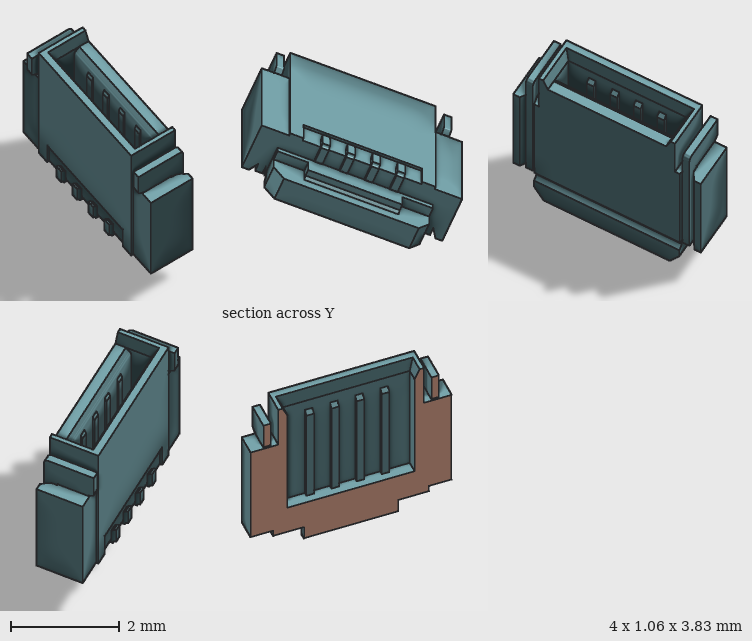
import cadquery as cq
import math


shell_width = 2.9
shell_depth = 1.0
shell_height = 3.1

cavity_width = 2.52
cavity_front = -0.75
cavity_back = -0.325
cavity_floor = 0.5
back_wall_top = 2.88
mouth_widening = 0.1
mouth_depth = shell_height - back_wall_top
lip_chamfer = 0.07
lip_round = 0.04
lip_round_height = 0.065
lip_round_bulge = 0.01

recess_width = 2.37
recess_height = 0.51
recess_depth = 0.05

overall_width = 4.0
wing_depth = 0.95
wing_height = 2.2
notch_outer_x = 1.86
notch_inner_x = 1.55
notch_depth = 0.18

mount_front = -1.05
nail_x = 1.67
nail_thickness = 0.15
nail_back = -0.025
nail_top = 2.8
nail_gap = 0.03
nail_leg_front = -0.3
nail_corner_radius = 0.1
nail_chamfer_run = 0.11
nail_chamfer_rise = 0.07
nail_chamfer_round = 0.04

contact_count = 4
contact_pitch = 0.5
contact_width = 0.15
foot_back = -0.67
foot_bottom = -0.09
foot_top = 0.31
foot_hollow_radius = 0.065
foot_tip_drop = 0.02
foot_heel_drop = 0.07
blade_top = 2.65
blade_tip_height = 0.08
front_blade_projection = 0.08
back_blade_projection = 0.035

tail_width = 3.1
tail_bottom = -0.73
tail_back = 0.01
tail_neck_back = -0.08
tail_neck_bottom = -0.15
tail_front = -0.445
tail_corner_run = 0.205
tail_corner_rise = 0.3
shelf_front = -0.632
shelf_bottom = -0.135
boss_width = 1.88
boss_bottom = -0.425
boss_chamfer = 0.06


def box(x_range, y_range, z_range):
    """Axis-aligned box from its limits along X, Y and Z."""
    size = [high - low for low, high in (x_range, y_range, z_range)]
    return (
        cq.Workplane("XY")
        .box(*size, centered=False)
        .translate((x_range[0], y_range[0], z_range[0]))
    )


def extrude_across(profile, width, x_center=0):
    """Extrude a closed YZ profile symmetrically about x_center."""
    return profile.extrude(width / 2, both=True).translate((x_center, 0, 0))


def side_plate(points, width, x_center=0):
    """Plate of the given X width with a polygonal YZ outline."""
    return extrude_across(cq.Workplane("YZ").polyline(points).close(), width, x_center)


def make_cavity():
    pocket = box(
        (-cavity_width / 2, cavity_width / 2),
        (cavity_front, cavity_back),
        (cavity_floor, shell_height),
    )

    mouth_back = shell_depth / 2
    mouth_front_top = cavity_front - mouth_widening
    bottom_y = (cavity_front + mouth_back) / 2
    top_y = (mouth_front_top + mouth_back) / 2
    mouth = (
        cq.Workplane("XY")
        .workplane(offset=back_wall_top)
        .center(0, bottom_y)
        .rect(cavity_width, mouth_back - cavity_front)
        .workplane(offset=mouth_depth)
        .center(0, top_y - bottom_y)
        .rect(cavity_width + 2 * mouth_widening, mouth_back - mouth_front_top)
        .loft(ruled=True)
    )

    round_start_y = cavity_back + lip_round
    round_start_z = back_wall_top - lip_chamfer
    round_end_z = round_start_z - lip_round_height
    round_middle = (
        cavity_back + lip_round / 2 - lip_round_bulge,
        (round_start_z + round_end_z) / 2,
    )
    lip = extrude_across(
        cq.Workplane("YZ")
        .moveTo(round_start_y + lip_chamfer, back_wall_top)
        .lineTo(round_start_y, round_start_z)
        .threePointArc(
            round_middle,
            (cavity_back, round_end_z),
        )
        .lineTo(cavity_back, back_wall_top)
        .close(),
        cavity_width,
    )
    return pocket.union(mouth).union(lip)


def make_shell():
    shell = box((-shell_width / 2, shell_width / 2), (-shell_depth, 0), (0, shell_height))
    recess = box(
        (-recess_width / 2, recess_width / 2),
        (-shell_depth, -shell_depth + recess_depth),
        (0, recess_height),
    )
    return shell.cut(make_cavity()).cut(recess)


def make_wing():
    """Wing on the +X side."""
    nail_outer_x = nail_x + nail_thickness / 2
    nail_inner_x = nail_x - nail_thickness / 2
    outline = [
        (shell_width / 2, -wing_depth),
        (overall_width / 2, -wing_depth),
        (overall_width / 2, 0),
        (notch_outer_x, 0),
        (nail_outer_x, -notch_depth),
        (nail_inner_x, -notch_depth),
        (notch_inner_x, 0),
        (shell_width / 2, 0),
    ]
    return cq.Workplane("XY").polyline(outline).close().extrude(wing_height)


def make_nail():
    """Solder nail on the +X side: a head above the wing and a leg along its notch."""
    head_bottom = wing_height + nail_gap
    outline = [
        (nail_back, 0),
        (nail_back, nail_top),
        (mount_front, nail_top),
        (mount_front, head_bottom + nail_chamfer_rise),
        (mount_front + nail_chamfer_run, head_bottom),
        (nail_leg_front, head_bottom),
        (nail_leg_front, 0),
    ]
    nail = side_plate(outline, nail_thickness, nail_x)
    nail = nail.edges("|X and >Y and >Z").fillet(nail_corner_radius)
    chamfer_start = nail.faces("<Y").edges("|X and <Z")
    return chamfer_start.fillet(nail_chamfer_round)


def make_contact(x_center):
    recess_face = -shell_depth + recess_depth
    hollow_middle = foot_hollow_radius * math.sqrt(0.5)
    foot = extrude_across(
        cq.Workplane("YZ")
        .moveTo(foot_back, 0)
        .lineTo(foot_back, foot_bottom)
        .lineTo(mount_front + foot_hollow_radius, foot_bottom)
        .threePointArc(
            (mount_front + hollow_middle, foot_bottom + hollow_middle),
            (mount_front, foot_bottom + foot_hollow_radius),
        )
        .lineTo(mount_front, foot_top)
        .lineTo(-shell_depth, foot_top - foot_tip_drop)
        .lineTo(recess_face, foot_top - foot_heel_drop)
        .lineTo(recess_face, 0)
        .close(),
        contact_width,
        x_center,
    )

    def blade(wall_y, projection):
        """Strip along a cavity wall with a sloped tip; projection is signed along Y."""
        outline = [
            (wall_y, cavity_floor),
            (wall_y, blade_top),
            (wall_y + projection, blade_top - blade_tip_height),
            (wall_y + projection, cavity_floor),
        ]
        return side_plate(outline, contact_width, x_center)

    front_blade = blade(cavity_front, front_blade_projection)
    back_blade = blade(cavity_back, -back_blade_projection)
    return [foot, front_blade, back_blade]


def make_tail():
    tab = side_plate(
        [
            (tail_neck_back, 0),
            (tail_neck_back, tail_neck_bottom),
            (tail_back, tail_neck_bottom - (tail_back - tail_neck_back)),
            (tail_back, tail_bottom),
            (tail_front, tail_bottom),
            (tail_front, shelf_bottom),
            (shelf_front, shelf_bottom),
            (shelf_front, 0),
        ],
        tail_width,
    )
    half_width = tail_width / 2
    outline = [
        (-half_width, 0),
        (-half_width, tail_bottom + tail_corner_rise),
        (-half_width + tail_corner_run, tail_bottom),
        (half_width - tail_corner_run, tail_bottom),
        (half_width, tail_bottom + tail_corner_rise),
        (half_width, 0),
    ]
    trim = cq.Workplane("XZ").polyline(outline).close().extrude(shell_depth, both=True)
    boss = side_plate(
        [
            (tail_front, 0),
            (shelf_front, 0),
            (shelf_front, boss_bottom),
            (tail_front - boss_chamfer, boss_bottom),
            (tail_front, boss_bottom - boss_chamfer),
        ],
        boss_width,
    )
    return tab.intersect(trim).union(boss)


connector = make_shell().union(make_tail())

for side_part in (make_wing(), make_nail()):
    connector = connector.union(side_part).union(side_part.mirror("YZ"))

for index in range(contact_count):
    contact_x = (index - (contact_count - 1) / 2) * contact_pitch
    for contact_piece in make_contact(contact_x):
        connector = connector.union(contact_piece)

result = connector